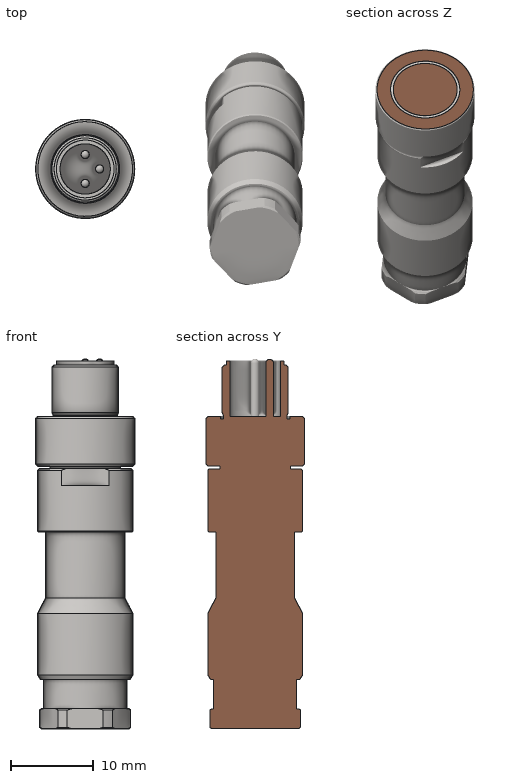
import cadquery as cq
import math

hex_top = 2.45
grip_bottom = 5.95
grip_edge = 6.55
cone_bottom = 14.0
cone_top = 15.85
sleeve_bottom = 23.85
flat_bottom = 29.5
sleeve_top = 31.55
nut_bottom = 31.8
nut_top = 37.85
undercut_bottom = 38.0
undercut_top = 38.3
plug_top = 44.1
rim_top = 44.58
pin_top = 44.8

hex_corner_radius = 5.5
gland_radius = 5.05
grip_radius = 5.8
grip_end_radius = 5.4
waist_radius = 4.8
sleeve_radius = grip_radius
collar_radius = 4.3
nut_radius = 6.0
plug_radius = 4.05
undercut_radius = 3.9
nut_recess_radius = 4.15
rim_radius = 3.5
bore_radius = 3.05
pin_radius = 0.5

hex_across_flats = 2 * gland_radius
sleeve_flat_distance = 5.0
pin_circle_radius = 1.75
nut_recess_depth = 0.25
bore_bottom = nut_top
hex_chamfer = 0.22
hex_chamfer_drop = 0.2
nut_chamfer = 0.25
sleeve_chamfer = 0.22
plug_chamfer = 0.25
sleeve_lower_chamfer = 0.15


def cylinder(radius, bottom, top):
    return cq.Workplane("XY").workplane(offset=bottom).circle(radius).extrude(top - bottom)


def revolve_profile(points):
    """Revolve (radius, height) points about the Z axis."""
    return cq.Workplane("XZ").polyline(points).close().revolve(360, (0, 0), (0, 1))


def make_hex_end():
    """Hexagon with flats across Y, trimmed by a cylinder with bevelled ends."""
    across_corners = hex_across_flats / math.cos(math.pi / 6)
    prism = cq.Workplane("XY").polygon(6, across_corners).extrude(hex_top)
    bevel_radius = hex_corner_radius - hex_chamfer
    envelope = revolve_profile([
        (0, 0),
        (bevel_radius, 0),
        (hex_corner_radius, hex_chamfer_drop),
        (hex_corner_radius, hex_top - hex_chamfer_drop),
        (bevel_radius, hex_top),
        (0, hex_top),
    ])
    return prism.intersect(envelope)


def make_grip():
    """Gland neck, bevelled grip and tapered waist."""
    return revolve_profile([
        (0, hex_top),
        (gland_radius, hex_top),
        (gland_radius, grip_bottom),
        (grip_end_radius, grip_bottom),
        (grip_radius, grip_edge),
        (grip_radius, cone_bottom),
        (waist_radius, cone_top),
        (waist_radius, sleeve_bottom),
        (0, sleeve_bottom),
    ])


def make_sleeve():
    """Sleeve with two opposed wrench flats at its upper end."""
    sleeve = cylinder(sleeve_radius, sleeve_bottom, sleeve_top)
    sleeve = sleeve.faces(">Z").chamfer(sleeve_chamfer)
    sleeve = sleeve.faces("<Z").chamfer(sleeve_lower_chamfer)
    cut_depth = sleeve_radius - sleeve_flat_distance
    for side in (-1, 1):
        cutter = cq.Workplane("XY").box(
            2 * sleeve_radius, cut_depth, sleeve_top - flat_bottom, centered=(True, True, False)
        )
        middle = side * (sleeve_flat_distance + cut_depth / 2)
        sleeve = sleeve.cut(cutter.translate((0, middle, flat_bottom)))
    return sleeve


def make_nut():
    """Coupling nut with a shallow recess around the plug and a collar below."""
    nut = cylinder(nut_radius, nut_bottom, nut_top).faces("<Z or >Z").chamfer(nut_chamfer)
    nut = nut.cut(cylinder(nut_recess_radius, nut_top - nut_recess_depth, nut_top))
    return nut.union(cylinder(collar_radius, sleeve_top, nut_bottom))


def make_plug():
    """Hollow plug with an undercut foot and a stepped rim."""
    plug = revolve_profile([
        (0, nut_top - nut_recess_depth),
        (undercut_radius, nut_top - nut_recess_depth),
        (undercut_radius, undercut_bottom),
        (plug_radius, undercut_top),
        (plug_radius, plug_top - plug_chamfer),
        (plug_radius - plug_chamfer, plug_top),
        (rim_radius, plug_top),
        (rim_radius, rim_top),
        (0, rim_top),
    ])
    return plug.cut(cylinder(bore_radius, bore_bottom, rim_top))


def make_pin():
    """Contact pin with a hemispherical tip."""
    dome_center = pin_top - pin_radius
    dome = cq.Workplane("XY").sphere(pin_radius).translate((0, 0, dome_center))
    return cylinder(pin_radius, bore_bottom, dome_center).union(dome)


result = make_hex_end().union(make_grip()).union(make_sleeve()).union(make_nut()).union(make_plug())
for angle in (-90, 0, 90):
    x = pin_circle_radius * math.cos(math.radians(angle))
    y = pin_circle_radius * math.sin(math.radians(angle))
    result = result.union(make_pin().translate((x, y, 0)))